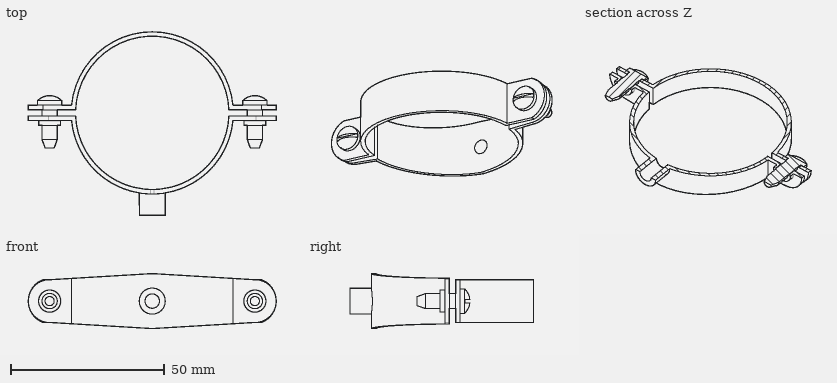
import cadquery as cq
import math


bore_radius = 25.0
strap_thickness = 1.5
outer_radius = bore_radius + strap_thickness
ear_gap = 2.0
ear_inner_y = ear_gap / 2
ear_outer_y = ear_inner_y + strap_thickness
clamp_length = 81.0
half_length = clamp_length / 2

rear_half_width = 7.0
rear_end_radius = 7.5

front_end_radius = 7.0
front_middle_radius = 9.0

screw_x = half_length - front_end_radius
screw_diameter = 5.0
screw_end_y = -11.5
tip_diameter = 3.0
tip_length = 2.75
head_diameter = 8.0
head_rim_height = 1.5
dome_height = 1.7
slot_width = 1.2
slot_depth = 1.6
collar_diameter = 7.2
collar_fillet = 0.1
collar_height = 1.6

boss_diameter = 8.5
boss_bore_diameter = 4.7
boss_end_y = -33.5


def y_cylinder(x, diameter, y_start, y_end):
    """Cylinder about a line parallel to Y, through (x, 0, 0)."""
    plane = cq.Workplane("XZ", origin=(x, y_start, 0))
    return plane.circle(diameter / 2).extrude(y_start - y_end)


def strap_section(side):
    """Half ring with ears, before its edges are trimmed; side is +1 (rear) or -1 (front)."""
    block_height = 4 * front_middle_radius
    blank = cq.Workplane("XY").workplane(offset=-block_height / 2)
    reach = outer_radius
    side_mask = (
        blank.center(0, side * (ear_inner_y + reach / 2))
        .rect(2 * half_length, reach)
        .extrude(block_height)
    )
    ears = (
        blank.center(0, side * (ear_inner_y + ear_outer_y) / 2)
        .rect(2 * half_length, strap_thickness)
        .extrude(block_height)
    )
    ring = blank.circle(outer_radius).extrude(block_height)
    bore = blank.circle(bore_radius).extrude(block_height)
    return ring.intersect(side_mask).union(ears).cut(bore)


def extrude_outline(outline):
    """Prism along Y of an outline drawn in XZ, long enough to cover the whole clamp."""
    return outline.extrude(2 * outer_radius, both=True)


def rear_outline():
    """Parallel edges closed by shallow end arcs that meet them at corners."""
    arc_center_x = half_length - rear_end_radius
    corner_x = arc_center_x + math.sqrt(rear_end_radius**2 - rear_half_width**2)
    return (
        cq.Workplane("XZ")
        .moveTo(-corner_x, rear_half_width)
        .lineTo(corner_x, rear_half_width)
        .threePointArc((half_length, 0), (corner_x, -rear_half_width))
        .lineTo(-corner_x, -rear_half_width)
        .threePointArc((-half_length, 0), (-corner_x, rear_half_width))
        .close()
    )


def front_outline():
    """Round ends and a round middle joined by tangent lines."""
    slope_angle = math.asin((front_middle_radius - front_end_radius) / screw_x)
    end_x = screw_x + front_end_radius * math.sin(slope_angle)
    end_z = front_end_radius * math.cos(slope_angle)
    middle_x = front_middle_radius * math.sin(slope_angle)
    middle_z = front_middle_radius * math.cos(slope_angle)
    return (
        cq.Workplane("XZ")
        .moveTo(-end_x, end_z)
        .lineTo(-middle_x, middle_z)
        .threePointArc((0, front_middle_radius), (middle_x, middle_z))
        .lineTo(end_x, end_z)
        .threePointArc((half_length, 0), (end_x, -end_z))
        .lineTo(middle_x, -middle_z)
        .threePointArc((0, -front_middle_radius), (-middle_x, -middle_z))
        .lineTo(-end_x, -end_z)
        .threePointArc((-half_length, 0), (-end_x, end_z))
        .close()
    )


def make_rear_half():
    half = strap_section(1).intersect(extrude_outline(rear_outline()))
    for x in (-screw_x, screw_x):
        half = half.cut(y_cylinder(x, screw_diameter, ear_outer_y, ear_inner_y))
    return half


def make_front_half():
    half = strap_section(-1).intersect(extrude_outline(front_outline()))

    collar_end_y = -ear_outer_y - collar_height
    for x in (-screw_x, screw_x):
        half = half.union(y_cylinder(x, collar_diameter, -ear_outer_y, collar_end_y))
        foot_center = (x, -ear_outer_y, 0)
        half = half.edges(cq.selectors.NearestToPointSelector(foot_center)).fillet(collar_fillet)
        half = half.cut(y_cylinder(x, screw_diameter, -ear_inner_y, collar_end_y))

    boss = y_cylinder(0, boss_diameter, -bore_radius, boss_end_y)
    pipe_space = cq.Workplane("XY").circle(bore_radius).extrude(boss_diameter, both=True)
    half = half.union(boss.cut(pipe_space))
    return half.cut(y_cylinder(0, boss_bore_diameter, 0, boss_end_y))


def make_screw(x):
    """Slotted dome-head screw, revolved about its own axis parallel to Y."""
    shank_radius = screw_diameter / 2
    head_radius = head_diameter / 2
    rim_y = ear_outer_y + head_rim_height
    crown_y = rim_y + dome_height
    dome_radius = (head_radius**2 + dome_height**2) / (2 * dome_height)
    dome_mid_r = head_radius / 2
    dome_mid_y = crown_y - dome_radius + math.sqrt(dome_radius**2 - dome_mid_r**2)
    screw = (
        cq.Workplane("XY", origin=(x, 0, 0))
        .moveTo(0, screw_end_y)
        .lineTo(tip_diameter / 2, screw_end_y)
        .lineTo(shank_radius, screw_end_y + tip_length)
        .lineTo(shank_radius, ear_outer_y)
        .lineTo(head_radius, ear_outer_y)
        .lineTo(head_radius, rim_y)
        .threePointArc((dome_mid_r, dome_mid_y), (0, crown_y))
        .close()
        .revolve(360, (0, 0, 0), (0, 1, 0))
    )
    slot = cq.Workplane("XY").box(head_diameter, slot_depth, slot_width)
    return screw.cut(slot.translate((x, crown_y - slot_depth / 2, 0)))


rear_half = make_rear_half()
front_half = make_front_half()
screws = [make_screw(x) for x in (-screw_x, screw_x)]

result = cq.Compound.makeCompound([rear_half.val(), front_half.val(), *[screw.val() for screw in screws]])